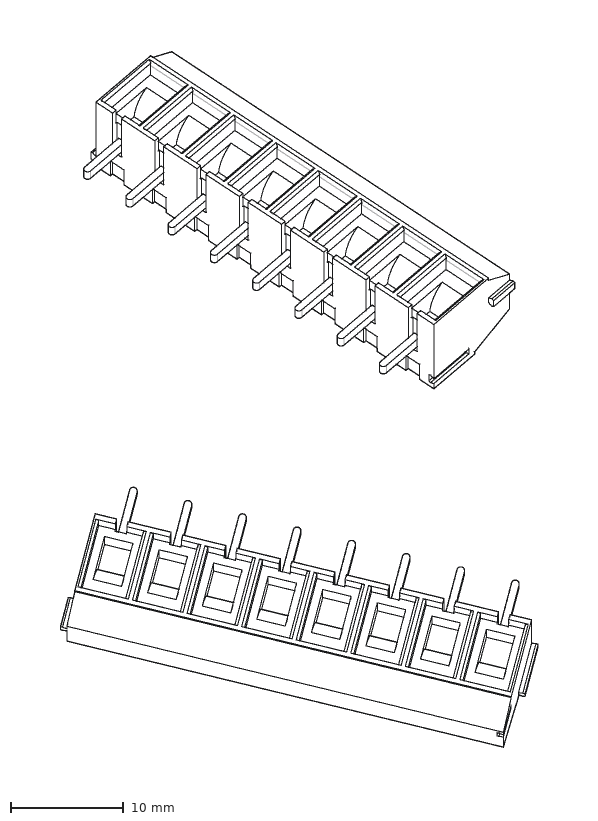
import cadquery as cq
import math

POLES = 8
PITCH = 5.0
LENGTH = POLES * PITCH
DEPTH = 10.2
HEIGHT = 8.6
EDGE_STEP = 0.3
TOP_SLOPE_Y = 7.36
TOP_SLOPE_BACK_Z = 6.74
BASE_SLOPE_Y = 5.5
BASE_SLOPE_BACK_Z = 2.1

FRONT_WALL = 0.48
POCKET_WIDTH = 4.1
POCKET_BACK_Y = 6.8
POCKET_FLOOR_Z = 6.84
SIDE_BEVEL = 0.26
BACK_BEVEL_HEIGHT = 0.5
BACK_BEVEL_WIDTH = 0.15

WELL_WIDTH = 2.6
WELL_FRONT_Y = 1.34
WELL_BACK_Y = 5.45
WELL_WALL_RADIUS = 3.2
WELL_WALL_START = 28.0
WELL_WALL_END = 84.0

SLOT_WIDTH = 1.05
SLOT_DEPTH = 0.62
SLOT_BOTTOM_Z = 3.5
NOTCH_WIDTH = 1.6
NOTCH_DEPTH = 0.3
NOTCH_HEIGHT = 2.0

PIN_WIDTH = 0.7
PIN_HEIGHT = 1.0
PIN_BOTTOM_Z = 3.86
PIN_REACH = 4.3

KEY_REACH = 0.6
KEY_CREST_REACH = 0.4
KEY_NECK = 0.64
KEY_CREST = 1.0
KEY_TIP = 0.8
LOWER_KEY_Z = 1.03
LOWER_KEY_LENGTH = 4.75
UPPER_KEY_Z = 5.63
UPPER_KEY_LENGTH = DEPTH - TOP_SLOPE_Y


def block(x_center, width, y_start, y_end, z_start, z_end):
    """Box centred at x_center, between the given Y and Z limits."""
    box = cq.Workplane("XY").box(width, y_end - y_start, z_end - z_start, centered=(True, False, False))
    return box.translate((x_center, y_start, z_start))


def housing():
    profile = [
        (0, 0),
        (BASE_SLOPE_Y, 0),
        (BASE_SLOPE_Y, EDGE_STEP),
        (DEPTH, BASE_SLOPE_BACK_Z),
        (DEPTH, TOP_SLOPE_BACK_Z),
        (TOP_SLOPE_Y, HEIGHT - EDGE_STEP),
        (TOP_SLOPE_Y, HEIGHT),
        (0, HEIGHT),
    ]
    return cq.Workplane("YZ").polyline(profile).close().extrude(LENGTH / 2, both=True)


def pocket(x):
    """Pocket with bevelled side and back edges: cross section and side profile intersected."""
    half_width = POCKET_WIDTH / 2
    half_mouth = half_width + SIDE_BEVEL
    mouth_back_y = POCKET_BACK_Y + BACK_BEVEL_WIDTH
    cross_section = [
        (-half_width, POCKET_FLOOR_Z),
        (half_width, POCKET_FLOOR_Z),
        (half_width, HEIGHT - SIDE_BEVEL),
        (half_mouth, HEIGHT),
        (-half_mouth, HEIGHT),
        (-half_width, HEIGHT - SIDE_BEVEL),
    ]
    side_profile = [
        (FRONT_WALL, POCKET_FLOOR_Z),
        (POCKET_BACK_Y, POCKET_FLOOR_Z),
        (POCKET_BACK_Y, HEIGHT - BACK_BEVEL_HEIGHT),
        (mouth_back_y, HEIGHT),
        (FRONT_WALL, HEIGHT),
    ]
    trough = cq.Workplane("XZ", origin=(x, 0, 0)).polyline(cross_section).close().extrude(-mouth_back_y)
    side_outline = cq.Workplane("YZ", origin=(x, 0, 0)).polyline(side_profile).close()
    return trough.intersect(side_outline.extrude(half_mouth, both=True))


def well(x):
    """Well whose back wall curves down from the pocket floor, almost to vertical."""
    start = math.radians(WELL_WALL_START)
    end = math.radians(WELL_WALL_END)
    axis_y = WELL_BACK_Y + WELL_WALL_RADIUS * math.sin(start)
    axis_z = POCKET_FLOOR_Z - WELL_WALL_RADIUS * math.cos(start)

    def wall_point(tilt):
        return axis_y - WELL_WALL_RADIUS * math.sin(tilt), axis_z + WELL_WALL_RADIUS * math.cos(tilt)

    wall_foot = wall_point(end)
    return (
        cq.Workplane("YZ", origin=(x, 0, 0))
        .moveTo(WELL_FRONT_Y, POCKET_FLOOR_Z)
        .lineTo(WELL_BACK_Y, POCKET_FLOOR_Z)
        .threePointArc(wall_point((start + end) / 2), wall_foot)
        .lineTo(WELL_FRONT_Y, wall_foot[1])
        .close()
        .extrude(WELL_WIDTH / 2, both=True)
    )


def front_slot(x):
    return block(x, SLOT_WIDTH, 0, SLOT_DEPTH, SLOT_BOTTOM_Z, HEIGHT)


def base_notch(x):
    return block(x, NOTCH_WIDTH, 0, NOTCH_DEPTH, 0, NOTCH_HEIGHT)


def pin(x):
    """Flat pin standing out from the slot floor, with a half-round free end."""
    radius = PIN_WIDTH / 2
    return (
        cq.Workplane("XY", origin=(x, 0, PIN_BOTTOM_Z))
        .moveTo(-radius, SLOT_DEPTH)
        .lineTo(-radius, radius - PIN_REACH)
        .threePointArc((0, -PIN_REACH), (radius, radius - PIN_REACH))
        .lineTo(radius, SLOT_DEPTH)
        .close()
        .extrude(PIN_HEIGHT)
    )


def key(face_x, outward, z, y_start, length):
    """Bar along Y that starts at face_x and reaches along X in the outward direction (+1 or -1)."""
    crest_x = outward * KEY_CREST_REACH
    tip_x = outward * KEY_REACH
    section = [
        (0, KEY_NECK / 2),
        (crest_x, KEY_CREST / 2),
        (tip_x, KEY_TIP / 2),
        (tip_x, -KEY_TIP / 2),
        (crest_x, -KEY_CREST / 2),
        (0, -KEY_NECK / 2),
    ]
    return cq.Workplane("XZ", origin=(face_x, y_start, z)).polyline(section).close().extrude(-length)


def lower_key(face_x):
    return key(face_x, -1, LOWER_KEY_Z, 0, LOWER_KEY_LENGTH)


def upper_key(face_x):
    return key(face_x, 1, UPPER_KEY_Z, TOP_SLOPE_Y, UPPER_KEY_LENGTH)


left_x = -LENGTH / 2
right_x = LENGTH / 2
body = housing()
body = body.union(lower_key(left_x)).cut(lower_key(right_x))
body = body.union(upper_key(right_x)).cut(upper_key(left_x))

for pole in range(POLES):
    pole_x = left_x + (pole + 0.5) * PITCH
    for cutter in (pocket, well, front_slot, base_notch):
        body = body.cut(cutter(pole_x))
    body = body.union(pin(pole_x))

result = body